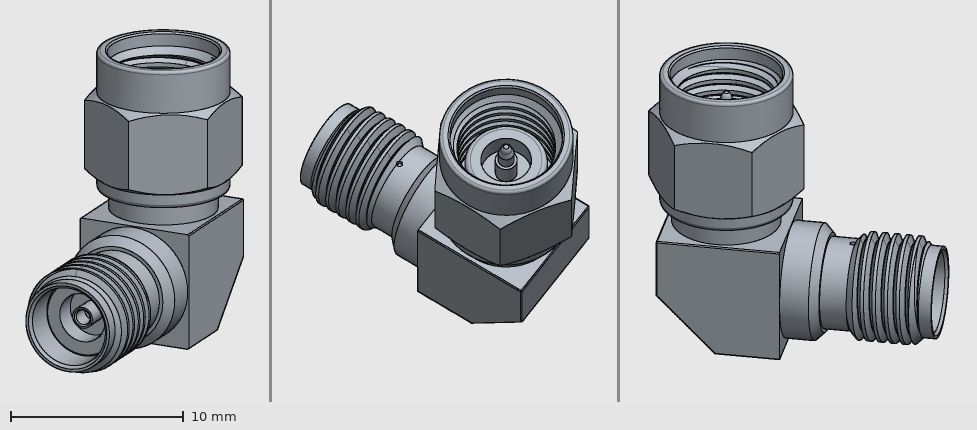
import cadquery as cq
import math


overall_length = 17.16
hex_width = 7.93
hex_corner_radius = hex_width / math.sqrt(3)

block_width = 7.0
block_half = block_width / 2
block_front = 3.81
block_back = 3.47
block_edge_chamfer = 0.07

line_radius = 1.46
conductor_radius = 0.63
pin_radius = 0.46
line_depth = 1.37

flange_radius = 3.43
flange_end = 6.02
flange_chamfer = 0.51
barrel_radius = 2.7
socket_end = overall_length - hex_corner_radius
socket_bore_radius = 2.35
socket_rim_chamfer = 0.17
socket_bore_depth = 1.95
land_chamfer = 0.1
contact_hole_radius = 0.45
contact_chamfer = 0.09
contact_hole_depth = 1.2
vent_radius = 0.17
vent_position = 7.46
vent_depth = 0.25

pitch = 0.7
thread_radius = 3.17
root_width = 0.03
groove_overshoot = 0.2
root_clearance = 0.02
socket_crest_width = 0.2
socket_thread_start = 7.58
socket_thread_end = 11.84
socket_groove_start = 7.38
socket_groove_turns = 7

collar_radius = thread_radius
collar_top = 7.9
post_radius = 2.39
post_top = 10.3
post_fillet = 0.31
pin_shoulder_height = 11.1
pin_neck_radius = 0.33
pin_neck_height = 11.46
pin_nose_bulge_radius = 0.3
pin_nose_radius = 0.15
pin_nose_height = 11.8
pin_tip_height = 11.87

nut_bottom = 4.74
nut_top = 13.1
nut_radius = 3.86
nut_fillet = 0.19
hex_bottom = 5.56
hex_top = 10.55
hex_chamfer_angle = 30
nut_mouth_radius = 3.26
nut_mouth_chamfer = 0.1
nut_mouth_depth = 0.84
nut_minor_radius = 2.85
nut_crest_width = 0.25
nut_groove_start = 7.31
nut_groove_turns = 7


def cylinder(radius, bottom, top):
    return cq.Workplane("XY").workplane(offset=bottom).circle(radius).extrude(top - bottom)


def revolved(points):
    """Solid of revolution about Z from (radius, height) points."""
    return cq.Workplane("XZ").polyline(points).close().revolve(360, (0, 0), (0, 1))


def cut_thread(blank, open_radius, root_radius, crest_width, start, turns):
    """Cut a right-handed helical V-groove, one turn at a time, narrowing from open_radius to root_radius."""
    groove_width = pitch - crest_width
    overshoot = groove_overshoot * (open_radius - root_radius)
    slope = (groove_width - root_width) / (2 * abs(open_radius - root_radius))
    outer_half_width = groove_width / 2 + slope * abs(overshoot)
    path = cq.Wire.makeHelix(pitch, pitch, root_radius)
    profile = cq.Workplane("XZ").polyline([
        (root_radius, -root_width / 2),
        (open_radius + overshoot, -outer_half_width),
        (open_radius + overshoot, outer_half_width),
        (root_radius, root_width / 2),
    ]).close()
    turn = profile.sweep(cq.Workplane(path), isFrenet=True).rotate((0, 0, 0), (0, 0, 1), 90)
    for index in range(turns):
        blank = blank.cut(turn.translate((0, 0, start + index * pitch)))
    return blank


def elbow_block():
    """Square block with a 45 degree cut across its lower far corner and fine edge chamfers."""
    outline = [
        (-block_front, -block_half),
        (0, -block_half),
        (block_back, block_back - block_half),
        (block_back, block_half),
        (-block_front, block_half),
    ]
    block = cq.Workplane("YZ").polyline(outline).close().extrude(block_half, both=True)
    return (
        block.faces("<X or >X").edges("not <Y")
        .add(block.faces(">Y").edges(">Z"))
        .chamfer(block_edge_chamfer)
    )


def socket_port():
    """Threaded socket, built pointing up +Z and then turned to point along -Y."""
    thread_chamfer = thread_radius - barrel_radius
    mating_plane = socket_end - socket_bore_depth
    line_floor = mating_plane - line_depth

    port = revolved([
        (0, 0),
        (flange_radius, 0),
        (flange_radius, flange_end - flange_chamfer),
        (flange_radius - flange_chamfer, flange_end),
        (barrel_radius, flange_end),
        (barrel_radius, socket_thread_start),
        (thread_radius, socket_thread_start + thread_chamfer),
        (thread_radius, socket_thread_end - thread_chamfer),
        (barrel_radius, socket_thread_end),
        (barrel_radius, socket_end),
        (0, socket_end),
    ])
    port = cut_thread(
        port, thread_radius, barrel_radius + root_clearance,
        socket_crest_width, socket_groove_start, socket_groove_turns)

    port = port.cut(revolved([
        (0, line_floor),
        (line_radius, line_floor),
        (line_radius, mating_plane),
        (socket_bore_radius - land_chamfer, mating_plane),
        (socket_bore_radius, mating_plane - land_chamfer),
        (socket_bore_radius, socket_end - socket_rim_chamfer),
        (socket_bore_radius + socket_rim_chamfer, socket_end),
        (0, socket_end),
    ]))
    hole_floor = mating_plane - contact_hole_depth
    port = port.union(revolved([
        (0, line_floor),
        (conductor_radius, line_floor),
        (conductor_radius, mating_plane),
        (contact_hole_radius + contact_chamfer, mating_plane),
        (contact_hole_radius, mating_plane - contact_chamfer),
        (contact_hole_radius, hole_floor),
        (0, hole_floor),
    ]))

    vent_hole = (
        cq.Workplane("XZ", origin=(0, barrel_radius - vent_depth, 0))
        .center(0, vent_position)
        .circle(vent_radius)
        .extrude(-2 * vent_depth)
    )
    return port.cut(vent_hole).rotate((0, 0, 0), (1, 0, 0), 90)


def plug_port():
    """Collar, hollow post and pin that stand on top of the block."""
    line_floor = post_top - line_depth
    collar = cylinder(collar_radius, 0, collar_top)
    post = cylinder(post_radius, collar_top, post_top).faces(">Z").edges().fillet(post_fillet)
    open_line = cylinder(line_radius, line_floor, post_top).cut(
        cylinder(conductor_radius, line_floor, post_top))
    return collar.union(post).cut(open_line).union(pin())


def pin():
    """Plug pin with a conical shoulder, a rounded nose and a shallow conical tip."""
    nose_middle = (pin_neck_height + pin_nose_height) / 2
    return (
        cq.Workplane("XZ")
        .moveTo(0, post_top)
        .lineTo(pin_radius, post_top)
        .lineTo(pin_radius, pin_shoulder_height)
        .lineTo(pin_neck_radius, pin_neck_height)
        .threePointArc((pin_nose_bulge_radius, nose_middle), (pin_nose_radius, pin_nose_height))
        .lineTo(0, pin_tip_height)
        .close()
        .revolve(360, (0, 0), (0, 1))
    )


def hexagon():
    """Hexagonal band with corners on the Y axis and both ends turned to a cone."""
    corner_drop = (hex_corner_radius - nut_radius) * math.tan(math.radians(hex_chamfer_angle))
    prism = (
        cq.Workplane("XY").workplane(offset=hex_bottom)
        .polygon(6, 2 * hex_corner_radius)
        .extrude(hex_top - hex_bottom)
        .rotate((0, 0, 0), (0, 0, 1), 30)
    )
    envelope = revolved([
        (0, hex_bottom),
        (nut_radius, hex_bottom),
        (hex_corner_radius, hex_bottom + corner_drop),
        (hex_corner_radius, hex_top - corner_drop),
        (nut_radius, hex_top),
        (0, hex_top),
    ])
    return prism.intersect(envelope)


def coupling_nut():
    """Round sleeve with a hexagonal band, threaded inside and bored below to seat on the collar."""
    sleeve = cylinder(nut_radius, nut_bottom, nut_top).faces("<Z or >Z").edges().fillet(nut_fillet)
    mouth_floor = nut_top - nut_mouth_depth
    cone_end = mouth_floor - (nut_mouth_radius - nut_minor_radius)
    bore = revolved([
        (0, nut_bottom),
        (collar_radius, nut_bottom),
        (collar_radius, collar_top),
        (nut_minor_radius, collar_top),
        (nut_minor_radius, cone_end),
        (nut_mouth_radius, mouth_floor),
        (nut_mouth_radius, nut_top - nut_mouth_chamfer),
        (nut_mouth_radius + nut_mouth_chamfer, nut_top),
        (0, nut_top),
    ])
    nut = sleeve.union(hexagon()).cut(bore)
    return cut_thread(
        nut, nut_minor_radius, thread_radius - root_clearance,
        nut_crest_width, nut_groove_start, nut_groove_turns)


elbow = elbow_block().union(socket_port()).union(plug_port())
nut = coupling_nut()

result = cq.Compound.makeCompound([elbow.solids().val(), nut.solids().val()])